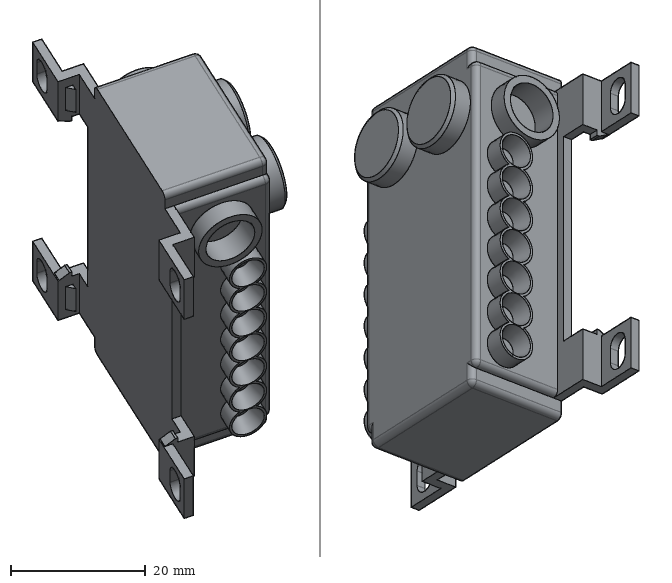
import cadquery as cq

TOTAL_HEIGHT = 58.1
NARROW_WIDTH = 24.6
STEP = 1.0
WIDE_WIDTH = NARROW_WIDTH + 2 * STEP
WIDE_HEIGHT = 52.2
EDGE_RADIUS = 1.0
FRONT_Y = 3.5
BACK_Y = 20.5

SHEET = 1.5
PLATE_WIDTH = 29.5
FEET_SPAN = 53.0
FOOT_HEIGHT = 8.65
LEG_INNER_X = 17.65
LEG_THICKNESS = 1.7
FOOT_Z = WIDE_HEIGHT / 2 - FOOT_HEIGHT / 2
SLOT_X = 23.3
SLOT_WIDTH = 3.5
SLOT_LENGTH = 6.0

INNER_WEDGE_DEPTH = 1.0
INNER_WEDGE_HEIGHT = 5.0
INNER_WEDGE_LOW_Y = 1.25
INNER_WEDGE_TOP_Y = 2.45
END_WEDGE_DEPTH = 0.9
END_WEDGE_LOW_Y = 0.2
END_WEDGE_TOP_Y = 2.3
END_WEDGE_FLAT = 0.4

TUBE_END_X = 16.4
LARGE_TUBE_DIAMETER = 10.4
LARGE_HOLE_DIAMETER = 8.0
LARGE_HOLE_DEPTH = 4.3
LARGE_TUBE_Y = 12.3
ENTRY_Z = 19.1
SMALL_TUBE_DIAMETER = 6.1
SMALL_HOLE_MOUTH = 5.3
SMALL_HOLE_FLOOR = 3.6
SMALL_TUBE_Y = 15.2
SMALL_TUBE_COUNT = 7
SMALL_TUBE_PITCH = 5.4
SMALL_TUBE_TOP_Z = 10.65
SMALL_HOLE_DEPTH = TUBE_END_X - WIDE_WIDTH / 2

BOSS_DIAMETER = 11.6
BOSS_X = 6.3
BOSS_END_Y = 23.8
BOSS_CHAMFER = 0.5


def box(x0, x1, y0, y1, z0, z1):
    return cq.Workplane("XY").box(x1 - x0, y1 - y0, z1 - z0, centered=False).translate((x0, y0, z0))


def rounded_block(width, height, front_y):
    block = box(-width / 2, width / 2, front_y, BACK_Y, -height / 2, height / 2)
    return block.edges("|Y").fillet(EDGE_RADIUS).faces(">Y").edges().fillet(EDGE_RADIUS)


def make_housing():
    narrow = rounded_block(NARROW_WIDTH, TOTAL_HEIGHT, FRONT_Y)
    wide = rounded_block(WIDE_WIDTH, WIDE_HEIGHT, FRONT_Y + SHEET)
    plate_half_height = WIDE_HEIGHT / 2 - FOOT_HEIGHT
    plate = box(
        -PLATE_WIDTH / 2, PLATE_WIDTH / 2, FRONT_Y, FRONT_Y + SHEET, -plate_half_height, plate_half_height
    )
    return narrow.union(wide).union(plate)


def make_foot():
    """Foot at the +X, +Z corner: a Z-shaped strip with a slot and two snap wedges."""
    leg_outer_x = LEG_INNER_X + LEG_THICKNESS
    profile = [
        (0, FRONT_Y),
        (LEG_INNER_X, FRONT_Y),
        (LEG_INNER_X, 0),
        (FEET_SPAN / 2, 0),
        (FEET_SPAN / 2, SHEET),
        (leg_outer_x, SHEET),
        (leg_outer_x, FRONT_Y + SHEET),
        (0, FRONT_Y + SHEET),
    ]
    strip = cq.Workplane("XY", origin=(0, 0, FOOT_Z)).polyline(profile).close()
    strip = strip.extrude(FOOT_HEIGHT / 2, both=True)

    slot = cq.Workplane("XZ", origin=(SLOT_X, 0, FOOT_Z)).slot2D(SLOT_LENGTH, SLOT_WIDTH, 90)
    strip = strip.cut(slot.extrude(SHEET, both=True))

    inner_wedge_profile = [
        (0, INNER_WEDGE_LOW_Y),
        (-INNER_WEDGE_DEPTH, INNER_WEDGE_TOP_Y),
        (0, INNER_WEDGE_TOP_Y),
    ]
    inner_wedge = cq.Workplane("XY", origin=(LEG_INNER_X, 0, FOOT_Z)).polyline(inner_wedge_profile).close()
    inner_wedge = inner_wedge.extrude(INNER_WEDGE_HEIGHT / 2, both=True)

    end_wedge_profile = [
        (END_WEDGE_LOW_Y, 0),
        (END_WEDGE_TOP_Y - END_WEDGE_FLAT, -END_WEDGE_DEPTH),
        (END_WEDGE_TOP_Y, -END_WEDGE_DEPTH),
        (END_WEDGE_TOP_Y, 0),
    ]
    leg_end = (LEG_INNER_X, 0, FOOT_Z - FOOT_HEIGHT / 2)
    end_wedge = cq.Workplane("YZ", origin=leg_end).polyline(end_wedge_profile).close()
    end_wedge = end_wedge.extrude(LEG_THICKNESS)
    return strip.union(inner_wedge).union(end_wedge)


def side_cylinder(diameter, y, z):
    """Tube body running through the housing from one side to the other."""
    return cq.Workplane("YZ", origin=(0, y, z)).circle(diameter / 2).extrude(TUBE_END_X, both=True)


def large_hole():
    """Straight blind hole in the +X end of the large tube."""
    hole = cq.Workplane("YZ", origin=(TUBE_END_X, LARGE_TUBE_Y, ENTRY_Z)).circle(LARGE_HOLE_DIAMETER / 2)
    return hole.extrude(-LARGE_HOLE_DEPTH)


def small_hole(z):
    """Tapered blind hole in the +X end of a small tube."""
    mouth_centre = cq.Vector(TUBE_END_X, SMALL_TUBE_Y, z)
    inward = cq.Vector(-1, 0, 0)
    return cq.Workplane(
        cq.Solid.makeCone(SMALL_HOLE_MOUTH / 2, SMALL_HOLE_FLOOR / 2, SMALL_HOLE_DEPTH, mouth_centre, inward)
    )


def add_cable_entries(body):
    small_tube_zs = [SMALL_TUBE_TOP_Z - i * SMALL_TUBE_PITCH for i in range(SMALL_TUBE_COUNT)]
    body = body.union(side_cylinder(LARGE_TUBE_DIAMETER, LARGE_TUBE_Y, ENTRY_Z))
    for z in small_tube_zs:
        body = body.union(side_cylinder(SMALL_TUBE_DIAMETER, SMALL_TUBE_Y, z))

    holes = [large_hole()] + [small_hole(z) for z in small_tube_zs]
    for hole in holes:
        body = body.cut(hole).cut(hole.mirror("YZ"))
    return body


def make_boss(x):
    boss = cq.Workplane("XZ", origin=(x, BOSS_END_Y, ENTRY_Z)).circle(BOSS_DIAMETER / 2)
    boss = boss.extrude(BOSS_END_Y - BACK_Y + EDGE_RADIUS)
    return boss.faces(">Y").edges().chamfer(BOSS_CHAMFER)


result = make_housing()
upper_right_foot = make_foot()
for foot in (upper_right_foot, upper_right_foot.mirror("YZ")):
    result = result.union(foot).union(foot.mirror("XY"))
result = add_cable_entries(result)
for boss_x in (-BOSS_X, BOSS_X):
    result = result.union(make_boss(boss_x))